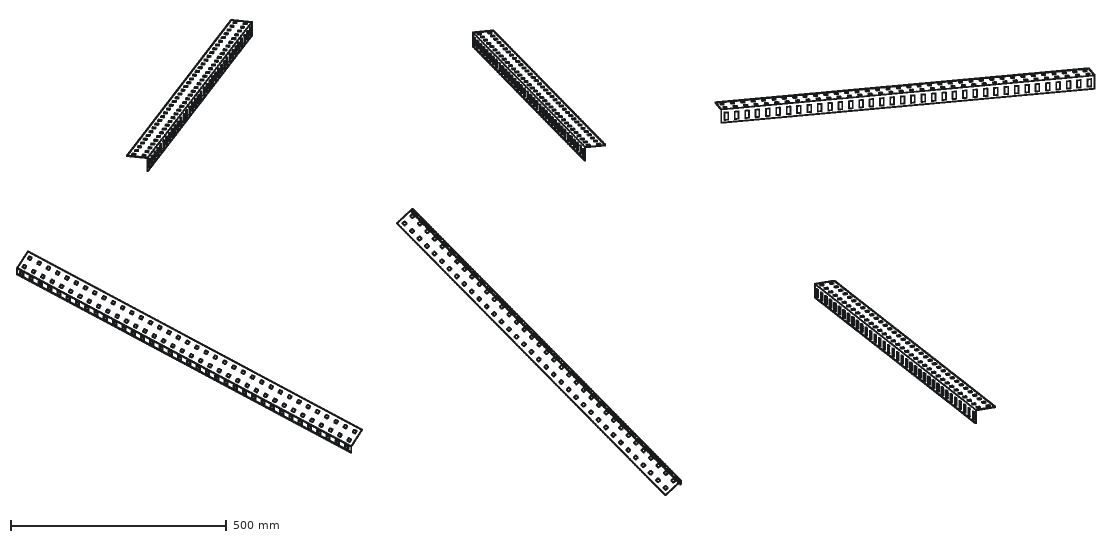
import cadquery as cq

length = 900.0
top_width = 50.0
side_height = 34.0
thickness = 2.0

station_count = 36
pitch = length / station_count
hole_side = 7.0
slot_length = 18.0
slot_width = 9.0
slot_center_drop = 19.0


def angle_bar():
    """L section: a flat top flange with a side flange hanging from its +X edge."""
    return (
        cq.Workplane("XZ", origin=(0, length / 2, 0))
        .moveTo(-top_width / 2, side_height / 2)
        .hLine(top_width)
        .vLine(-side_height)
        .hLine(-thickness)
        .vLine(side_height - thickness)
        .hLine(thickness - top_width)
        .close()
        .extrude(length)
    )


def top_holes():
    """Two rows of square holes through the top flange, one pitch apart in X."""
    return (
        cq.Workplane("XY", origin=(0, 0, side_height / 2 - thickness))
        .rarray(pitch, pitch, 2, station_count)
        .rect(hole_side, hole_side)
        .extrude(thickness)
    )


def side_slots():
    """One row of upright rectangular slots through the side flange."""
    slot_center_z = side_height / 2 - slot_center_drop
    return (
        cq.Workplane("YZ", origin=(top_width / 2 - thickness, 0, slot_center_z))
        .rarray(pitch, pitch, station_count, 1)
        .rect(slot_width, slot_length)
        .extrude(thickness)
    )


result = angle_bar().cut(top_holes()).cut(side_slots())